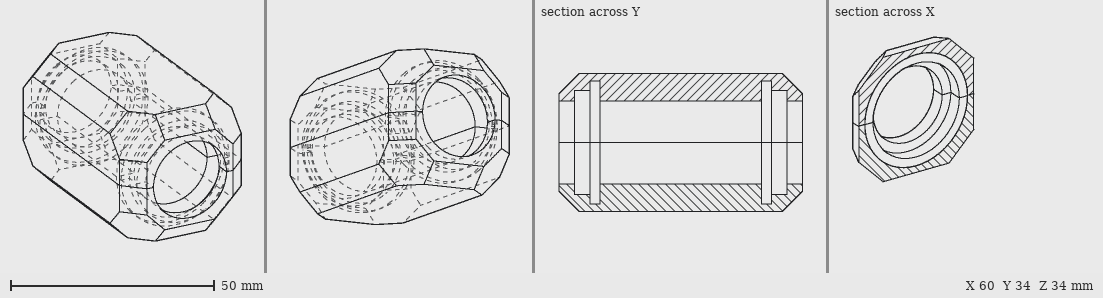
import cadquery as cq

length = 60.0
side = 34.0
chamfer = 5.0

bore_diameter = 20.4
end_wall = 3.9
seat_diameter = 25.5
seat_depth = 7.7
groove_diameter = 30.25
groove_depth = 10.1


def faceted_block():
    """Box with all edges chamfered and all eight corners cut to flat hexagons."""
    block = cq.Workplane("XY").box(length, side, side).edges().chamfer(chamfer)
    for x_sign in (-1, 1):
        for y_sign in (-1, 1):
            for z_sign in (-1, 1):
                facet_point = (
                    x_sign * (length / 2 - chamfer),
                    y_sign * (side / 2 - chamfer),
                    z_sign * (side / 2 - chamfer),
                )
                facet_plane = cq.Plane(origin=facet_point, normal=(x_sign, y_sign, z_sign))
                block = block.cut(cq.Workplane(facet_plane).rect(side, side).extrude(side))
    return block


def end_recess(diameter, near_depth, far_depth):
    """Pair of coaxial discs, mirrored about X = 0, between two depths from the end faces."""
    disc = (
        cq.Workplane("YZ", origin=(near_depth - length / 2, 0, 0))
        .circle(diameter / 2)
        .extrude(far_depth - near_depth)
    )
    return disc.union(disc.mirror("YZ"))


def half_shell(lower):
    """Half of the bored block on one side of the Z = 0 parting plane."""
    half_space = cq.Workplane("XY").box(length, side, side / 2, centered=(True, True, False))
    if lower:
        half_space = half_space.mirror("XY")
    bore = cq.Workplane("YZ").circle(bore_diameter / 2).extrude(length / 2, both=True)
    return (
        faceted_block()
        .cut(bore)
        .cut(end_recess(seat_diameter, end_wall, seat_depth))
        .cut(end_recess(groove_diameter, seat_depth, groove_depth))
        .intersect(half_space)
    )


upper_shell = half_shell(lower=False)
lower_shell = half_shell(lower=True)

result = cq.Compound.makeCompound([upper_shell.val(), lower_shell.val()])